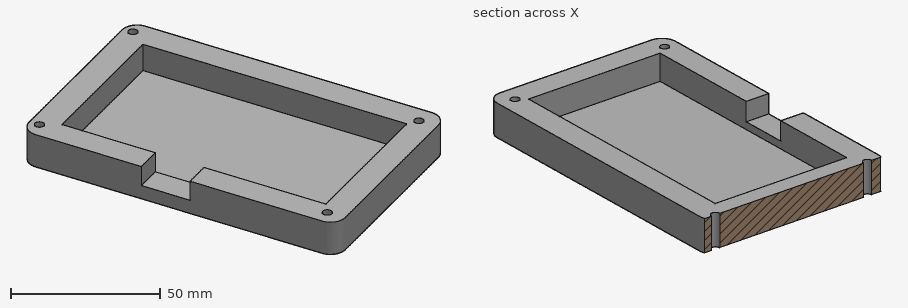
import cadquery as cq

length = 121.0
width = 76.0
height = 13.0
corner_radius = 5.7

left_wall = 10.4
right_wall = 9.7
front_wall = 9.7
back_wall = 10.2
pocket_depth = 10.5

notch_width = 18.6
notch_depth = 7.6
notch_left_offset = 46.1

hole_diameter = 3.4
hole_centers = [
    (-56.7, 32.9),
    (53.5, 31.5),
    (-56.7, -32.0),
    (53.7, -32.5),
]

left_face = -length / 2
front_face = -width / 2


def pocket_from_top(x_start, y_start, x_size, y_size, depth):
    """Box that cuts down from the top face by the given depth."""
    return (
        cq.Workplane("XY")
        .box(x_size, y_size, depth, centered=False)
        .translate((x_start, y_start, height - depth))
    )


block = (
    cq.Workplane("XY")
    .box(length, width, height, centered=(True, True, False))
    .edges("|Z")
    .fillet(corner_radius)
)

pocket = pocket_from_top(
    left_face + left_wall,
    front_face + front_wall,
    length - left_wall - right_wall,
    width - front_wall - back_wall,
    pocket_depth,
)

notch = pocket_from_top(
    left_face + notch_left_offset,
    front_face,
    notch_width,
    front_wall,
    notch_depth,
)

holes = (
    cq.Workplane("XY")
    .pushPoints(hole_centers)
    .circle(hole_diameter / 2)
    .extrude(height)
)

result = block.cut(pocket).cut(notch).cut(holes)